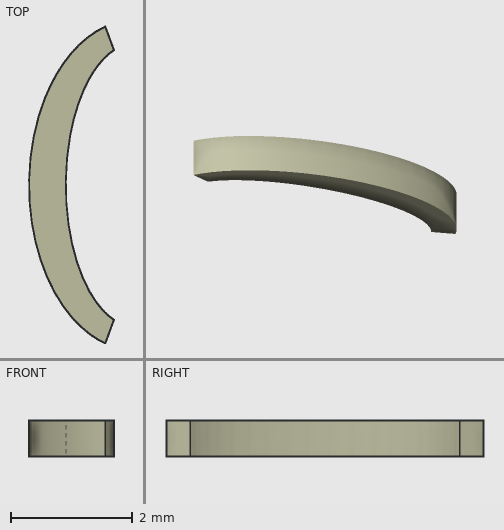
import cadquery as cq
import math

thickness = 0.6
wall_at_middle = 0.61
outer_radius_x = 1.76
outer_radius_y = 2.727
inner_radius_x = outer_radius_x - wall_at_middle
inner_radius_y = 2.34
outer_end_y = 2.615
inner_end_y = 2.225

center_x = outer_radius_x


def elliptical_arc(radius_x, radius_y, end_y):
    """Arc on the -X side of an ellipse, from +end_y through the middle to -end_y."""
    half_angle = math.degrees(math.asin(end_y / radius_y))
    return cq.Edge.makeEllipse(
        radius_y,
        radius_x,
        pnt=cq.Vector(center_x, 0, 0),
        dir=cq.Vector(0, 0, 1),
        xdir=cq.Vector(0, 1, 0),
        angle1=90 - half_angle,
        angle2=90 + half_angle,
    )


def curved_strip(height):
    """Strip between two elliptical arcs, closed by a slanted straight edge at each end."""
    outer_arc = elliptical_arc(outer_radius_x, outer_radius_y, outer_end_y)
    inner_arc = elliptical_arc(inner_radius_x, inner_radius_y, inner_end_y)
    upper_end = cq.Edge.makeLine(outer_arc.startPoint(), inner_arc.startPoint())
    lower_end = cq.Edge.makeLine(outer_arc.endPoint(), inner_arc.endPoint())
    outline = cq.Wire.assembleEdges([outer_arc, lower_end, inner_arc, upper_end])
    return cq.Workplane("XY").add(outline).toPending().extrude(height)


result = curved_strip(thickness)